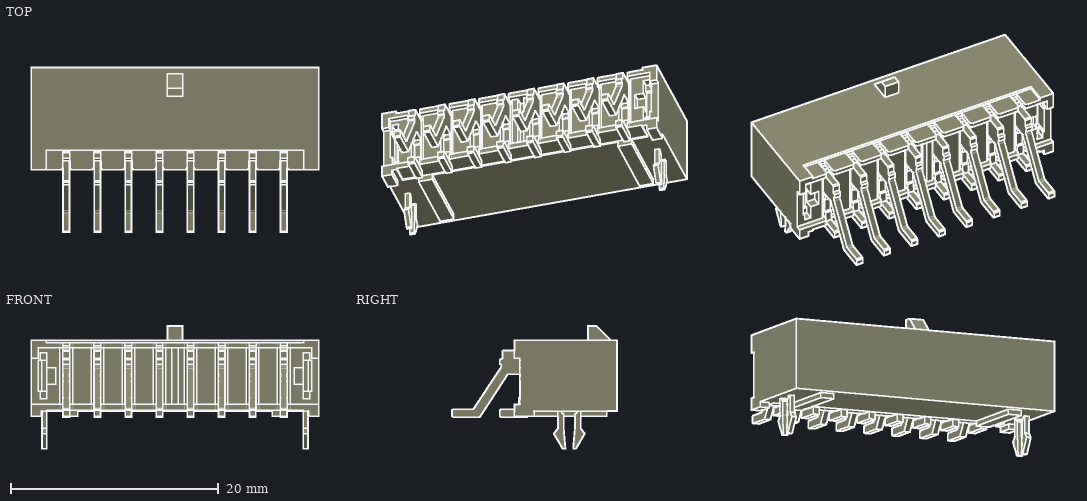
import cadquery as cq
import math

LENGTH = 27.7
DEPTH = 9.9
HEIGHT = 6.85
HALF = LENGTH / 2

WALL_Y = 0.53
LIP_BOTTOM = 6.12
LIP_TOP = 0.66
EAR_BOTTOM = 5.1
EAR_X = 13.15

STEP_X = 12.4
STEP_Y = 1.9
TOP_STEP = 0.25
BOTTOM_STEP = 0.1
PLATE_TOP = HEIGHT - TOP_STEP

CONTACTS = 8
PITCH = 3.0
PIN = 0.65
TIP_CHAMFER = 0.1
HEAD_BEVEL = 0.15
NECK_RADIUS = 0.42
TAIL_RADIUS = 0.28
GROOVE_HALF = 0.33
MOUTH_HALF = 0.6
GROOVE_Y = 0.9
LEDGE_SLOPE = 0.25
LEDGE_BACK_Y = 1.83
LEDGE_BACK_SLOPE = 0.17
TAIL_BOTTOM = -0.58
TAIL_TOP = 0.2
UPPER_TAIL_Y = -6.0
LOWER_TAIL_Y = -1.4
PIN_ROOT_Y = 2.22

CENTRE_SLOT_HALF = 0.3
CENTRE_SLOT_DEPTH = 0.83

CLIP_INNER_X = 12.35
CLIP_THICKNESS = 0.47
CLIP_OUTER_X = CLIP_INNER_X + CLIP_THICKNESS
SLOT_X, SLOT_Z0, SLOT_Z1, SLOT_DEPTH = 13.0, 1.22, 5.65, 0.83
WIDE_X, WIDE_Z0, WIDE_Z1, WIDE_DEPTH = 13.15, 1.9, 4.93, 1.38
CLIP_FACE_DEPTH = 1.1
WINDOW_X, WINDOW_Z0, WINDOW_Z1, WINDOW_DEPTH = 11.5, 2.6, 4.18, 0.83

FOOT_DROP = 0.5
FOOT_X = 12.85
RAIL_X0, RAIL_X1 = 9.35, 10.75
RAIL_Y1 = 8.92

LATCH_WIDTH = 1.47
LATCH_RISE = 1.38
LATCH_Y0, LATCH_FLAT_Y, LATCH_Y1 = 7.1, 7.9, 9.28


def box(x0, x1, y0, y1, z0, z1):
    """Axis-aligned box between two corners."""
    return cq.Workplane("XY").box(x1 - x0, y1 - y0, z1 - z0, centered=False).translate((x0, y0, z0))


def side_profile(points, x0, x1):
    """Outline of (y, z) points extruded from x0 to x1."""
    return cq.Workplane("YZ").polyline(points).close().extrude(x1 - x0).translate((x0, 0, 0))


def both_ends(shape):
    """A shape together with its mirror image at the other end in X."""
    return shape.union(shape.mirror("YZ"))


def make_housing():
    body = box(-HALF, HALF, 0, DEPTH, 0, HEIGHT)
    body = body.cut(box(-EAR_X, EAR_X, 0, WALL_Y, LIP_TOP, LIP_BOTTOM))
    body = body.cut(box(-HALF, HALF, 0, WALL_Y, LIP_TOP, EAR_BOTTOM))
    body = body.cut(box(-STEP_X, STEP_X, 0, STEP_Y, PLATE_TOP, HEIGHT))
    body = body.cut(box(-CLIP_INNER_X, CLIP_INNER_X, 0, STEP_Y, 0, BOTTOM_STEP))
    body = body.cut(
        box(-CENTRE_SLOT_HALF, CENTRE_SLOT_HALF, WALL_Y, WALL_Y + CENTRE_SLOT_DEPTH, LIP_TOP, LIP_BOTTOM)
    )
    foot = box(FOOT_X, HALF, 0, STEP_Y, -FOOT_DROP, 0)
    rail = box(RAIL_X0, RAIL_X1, STEP_Y, RAIL_Y1, -FOOT_DROP, 0)
    return body.union(both_ends(foot)).union(both_ends(rail))


def make_groove():
    """Cutter for one contact groove: tapered through the wall, rounded at the lips, stepped on top."""
    radius = MOUTH_HALF - GROOVE_HALF
    arc_x = MOUTH_HALF - radius * math.sin(math.pi / 4)
    arc_y = radius - radius * math.cos(math.pi / 4)
    taper = (
        cq.Workplane("XY")
        .moveTo(-MOUTH_HALF, WALL_Y)
        .lineTo(MOUTH_HALF, WALL_Y)
        .lineTo(GROOVE_HALF, GROOVE_Y)
        .lineTo(-GROOVE_HALF, GROOVE_Y)
        .close()
        .extrude(PLATE_TOP)
    )
    mouth = (
        cq.Workplane("XY")
        .moveTo(-MOUTH_HALF, 0)
        .lineTo(MOUTH_HALF, 0)
        .threePointArc((arc_x, arc_y), (GROOVE_HALF, radius))
        .lineTo(GROOVE_HALF, GROOVE_Y)
        .lineTo(-GROOVE_HALF, GROOVE_Y)
        .lineTo(-GROOVE_HALF, radius)
        .threePointArc((-arc_x, arc_y), (-MOUTH_HALF, 0))
        .close()
        .extrude(PLATE_TOP)
    )
    ledge = side_profile(
        [
            (GROOVE_Y, LIP_BOTTOM - LEDGE_SLOPE),
            (GROOVE_Y + LEDGE_SLOPE, LIP_BOTTOM),
            (LEDGE_BACK_Y - LEDGE_BACK_SLOPE, LIP_BOTTOM),
            (LEDGE_BACK_Y, LIP_BOTTOM + LEDGE_BACK_SLOPE),
            (LEDGE_BACK_Y, PLATE_TOP),
            (GROOVE_Y, PLATE_TOP),
        ],
        -GROOVE_HALF,
        GROOVE_HALF,
    )
    in_wall = box(-MOUTH_HALF, MOUTH_HALF, 0, GROOVE_Y, LIP_TOP, LIP_BOTTOM)
    return mouth.union(taper.intersect(in_wall)).union(ledge)


def tail_tip(y):
    """Bevelled end of a solder tail, from its lower edge to its upper edge."""
    return [
        (y + TIP_CHAMFER, TAIL_BOTTOM),
        (y, TAIL_BOTTOM + TIP_CHAMFER),
        (y, TAIL_TOP - TIP_CHAMFER),
        (y + TIP_CHAMFER, TAIL_TOP),
    ]


def round_bend(contact, bend, radius):
    """Round the edge across a contact that lies at the (y, z) bend."""
    nearest = cq.selectors.NearestToPointSelector((0, *bend))
    return contact.edges("|X").edges(nearest).fillet(radius)


def make_upper_contact():
    """Contact leaving the wall near the top and slanting down to a long solder tail."""
    head_top, head_bottom = 5.87, 3.55
    head_y, neck_y, bump_y = -1.15, -1.27, -1.4
    bump_top, bump_bottom = 4.95, 4.52
    neck_bend = (neck_y, 4.27)
    tail_bend = (-3.95, TAIL_TOP)
    points = [(PIN_ROOT_Y, head_bottom), (-0.65, head_bottom), (-3.32, TAIL_BOTTOM)]
    points += tail_tip(UPPER_TAIL_Y)
    points += [
        tail_bend,
        neck_bend,
        (neck_y, bump_bottom),
        (bump_y, bump_bottom),
        (bump_y, bump_top),
        (head_y, bump_top + HEAD_BEVEL),
        (head_y, head_top - TIP_CHAMFER),
        (head_y + TIP_CHAMFER, head_top),
        (PIN_ROOT_Y, head_top),
    ]
    contact = side_profile(points, -PIN / 2, PIN / 2)
    contact = round_bend(contact, neck_bend, NECK_RADIUS)
    return round_bend(contact, tail_bend, TAIL_RADIUS)


def make_lower_contact():
    """Contact dropping straight down inside its groove to a short solder tail."""
    head_top, head_bottom, root_bottom = 3.38, 2.88, 1.05
    head_y, neck_y, bump_y, back_y = 0.5, 0.65, 0.42, 1.25
    bump_top = 1.3
    points = [(PIN_ROOT_Y, root_bottom), (back_y, root_bottom), (back_y, TAIL_BOTTOM)]
    points += tail_tip(LOWER_TAIL_Y)
    points += [
        (bump_y, TAIL_TOP),
        (bump_y, bump_top),
        (neck_y, bump_top),
        (neck_y, head_bottom),
        (head_y, head_bottom),
        (head_y, head_top),
        (PIN_ROOT_Y, head_top),
    ]
    return side_profile(points, -PIN / 2, PIN / 2)


def make_clip_pocket():
    """Cutter for the +X end: slot holding the clip, with a square window beside it."""
    slot = box(CLIP_INNER_X, SLOT_X, WALL_Y, WALL_Y + SLOT_DEPTH, SLOT_Z0, SLOT_Z1)
    wide = box(CLIP_INNER_X, WIDE_X, WALL_Y, WALL_Y + WIDE_DEPTH, WIDE_Z0, WIDE_Z1)
    clip = box(CLIP_INNER_X, CLIP_OUTER_X, WALL_Y + CLIP_FACE_DEPTH, WALL_Y + WIDE_DEPTH, WIDE_Z0, WIDE_Z1)
    window = box(WINDOW_X, CLIP_INNER_X, WALL_Y, WALL_Y + WINDOW_DEPTH, WINDOW_Z0, WINDOW_Z1)
    return slot.union(wide).cut(clip).union(window)


def make_board_lock():
    """Two mirrored barbed legs of the clip at the +X end; the gap between them flares at the root."""
    centre_y = 5.3
    inner, outer = 0.53, 1.1
    flare, barb = 0.75, 1.5
    tip_inner, tip_outer = 0.35, 0.65
    root_z, flare_top, flare_bottom = 0.28, -0.1, -0.3
    shoulder_z, barb_z, tip_z = -1.65, -2.15, -3.63
    points = [
        (flare, root_z),
        (flare, flare_top),
        (inner, flare_bottom),
        (inner, shoulder_z),
        (tip_inner, tip_z),
        (tip_outer, tip_z),
        (barb, barb_z),
        (outer, shoulder_z),
        (outer, root_z),
    ]
    leg = side_profile(points, CLIP_INNER_X, CLIP_OUTER_X)
    return leg.union(leg.mirror("XZ")).translate((0, centre_y, 0))


def make_latch():
    top = HEIGHT + LATCH_RISE
    points = [(LATCH_Y0, HEIGHT), (LATCH_Y1, HEIGHT), (LATCH_FLAT_Y, top), (LATCH_Y0, top)]
    return side_profile(points, -LATCH_WIDTH / 2, LATCH_WIDTH / 2)


result = make_housing().cut(both_ends(make_clip_pocket()))
result = result.union(make_latch()).union(both_ends(make_board_lock()))

groove = make_groove()
contacts = make_upper_contact().union(make_lower_contact())
for index in range(CONTACTS):
    x = (index - (CONTACTS - 1) / 2) * PITCH
    result = result.cut(groove.translate((x, 0, 0)))
    result = result.union(contacts.translate((x, 0, 0)))